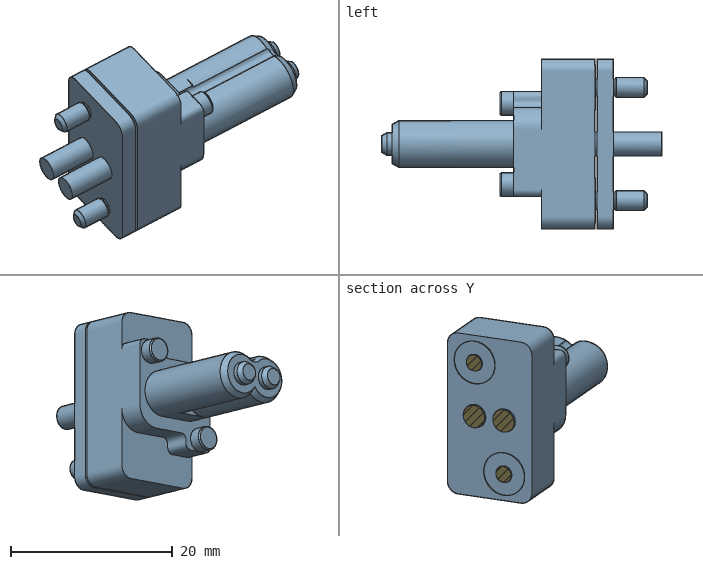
import cadquery as cq
import math

WIDTH = 11.5
LENGTH = 34.6
HEIGHT = 21.0
CORNER_RADIUS = 1.5
CONTACT_X = 2.0

CONTACT_FRONT = -6.0
GUIDE_FRONT = -4.22
PLATE_BACK = 2.0
BLOCK_FRONT = 2.3
BLOCK_BACK = 8.9
FLANGE_BACK = 12.32
WEB_BACK = 15.33
TUBE_BACK = 27.35
TIP_BACK = CONTACT_FRONT + LENGTH

CONTACT_RADIUS = 1.5
TUBE_RADIUS = 2.9
TUBE_CHAMFER_LENGTH = 0.85
TUBE_CHAMFER_DEPTH = 0.5
TIP_RADIUS = 1.42
TIP_CHAMFER_LENGTH = 0.65
TIP_CHAMFER_DEPTH = 0.38

GUIDE_Z = 7.0
GUIDE_RADIUS = 1.25
GUIDE_NECK_RADIUS = 1.07
GUIDE_NECK_LENGTH = 0.2
GUIDE_TIP_CHAMFER = 0.45
COLLAR_RADIUS = 2.77
COLLAR_THICKNESS = 0.1

FLANGE_TOP = 6.5
FLANGE_SHOULDER = 4.53
FLANGE_STEP_X = 1.75
FLANGE_BIG_RADIUS = 2.7
FLANGE_SMALL_RADIUS = 0.8

SCREW_X = 4.0
SCREW_Z = 5.0
SCREW_RADIUS = 1.5
SCREW_HEIGHT = 1.7
SCREW_CHAMFER_LENGTH = 0.2
SCREW_CHAMFER_DEPTH = 0.15

FILLER_WIDTH = 1.05
FILLER_HEIGHT = 2.42
GROOVE_RADIUS = 0.8
GROOVE_END = 13.08
GROOVE_FLARE_LENGTH = 0.62
DRILL_POINT_ANGLE = 118


def slab(y_start, y_end):
    """Full-size rounded plate lying between two Y stations."""
    return (
        cq.Workplane("XZ", origin=(0, y_start, 0))
        .rect(WIDTH, HEIGHT)
        .extrude(y_start - y_end)
        .edges("|Y")
        .fillet(CORNER_RADIUS)
    )


def turned(profile, x, z):
    """Revolve (radius, y) points, starting and ending on the axis, about the Y line through x, z."""
    solid = cq.Workplane("XY").polyline(profile).close().revolve(360, (0, 0), (0, 1))
    return solid.translate((x, 0, z))


def contact(x):
    """Turned contact: front stub, chamfered tube and probe tip."""
    return turned(
        [
            (0, CONTACT_FRONT),
            (CONTACT_RADIUS, CONTACT_FRONT),
            (CONTACT_RADIUS, BLOCK_BACK),
            (TUBE_RADIUS, BLOCK_BACK),
            (TUBE_RADIUS, TUBE_BACK - TUBE_CHAMFER_LENGTH),
            (TUBE_RADIUS - TUBE_CHAMFER_DEPTH, TUBE_BACK),
            (TIP_RADIUS, TUBE_BACK),
            (TIP_RADIUS, TIP_BACK - TIP_CHAMFER_LENGTH),
            (TIP_RADIUS - TIP_CHAMFER_DEPTH, TIP_BACK),
            (0, TIP_BACK),
        ],
        x,
        0,
    )


def guide_pin(x, z):
    """Turned guide pin reaching back to the block."""
    neck_step = GUIDE_RADIUS - GUIDE_NECK_RADIUS
    collar_front = BLOCK_FRONT - COLLAR_THICKNESS
    return turned(
        [
            (0, GUIDE_FRONT),
            (GUIDE_RADIUS - GUIDE_TIP_CHAMFER, GUIDE_FRONT),
            (GUIDE_RADIUS, GUIDE_FRONT + GUIDE_TIP_CHAMFER),
            (GUIDE_RADIUS, -GUIDE_NECK_LENGTH - neck_step),
            (GUIDE_NECK_RADIUS, -GUIDE_NECK_LENGTH),
            (GUIDE_NECK_RADIUS, collar_front),
            (COLLAR_RADIUS, collar_front),
            (COLLAR_RADIUS, BLOCK_FRONT),
            (0, BLOCK_FRONT),
        ],
        x,
        z,
    )


def screw_head(x, z):
    """Screw head with a chamfered rim, standing on the flange."""
    head_back = FLANGE_BACK + SCREW_HEIGHT
    return turned(
        [
            (0, FLANGE_BACK),
            (SCREW_RADIUS, FLANGE_BACK),
            (SCREW_RADIUS, head_back - SCREW_CHAMFER_LENGTH),
            (SCREW_RADIUS - SCREW_CHAMFER_DEPTH, head_back),
            (0, head_back),
        ],
        x,
        z,
    )


def flange():
    """Plate with two opposite corners cut back; unchanged by a half turn about Y."""
    half_width = WIDTH / 2
    half_outline = [
        (-half_width, FLANGE_SHOULDER),
        (FLANGE_STEP_X, FLANGE_SHOULDER),
        (FLANGE_STEP_X, FLANGE_TOP),
        (half_width, FLANGE_TOP),
    ]
    outline = half_outline + [(-x, -z) for x, z in half_outline]
    body = (
        cq.Workplane("XZ", origin=(0, BLOCK_BACK, 0))
        .polyline(outline)
        .close()
        .extrude(BLOCK_BACK - FLANGE_BACK)
    )
    middle_y = (BLOCK_BACK + FLANGE_BACK) / 2

    def corner_edges(corners):
        selected = body.edges(cq.NearestToPointSelector((corners[0][0], middle_y, corners[0][1])))
        for x, z in corners[1:]:
            selected = selected.add(body.edges(cq.NearestToPointSelector((x, middle_y, z))))
        return selected

    big_corners = [outline[0], outline[4]]
    small_corners = outline[1:4] + outline[5:8]
    body = corner_edges(big_corners).fillet(FLANGE_BIG_RADIUS)
    return corner_edges(small_corners).fillet(FLANGE_SMALL_RADIUS)


def web():
    """Block filling the gap between the tubes next to the flange."""
    return (
        cq.Workplane("XZ", origin=(0, FLANGE_BACK, 0))
        .rect(2 * CONTACT_X, 2 * TUBE_RADIUS)
        .extrude(FLANGE_BACK - WEB_BACK)
    )


def filler_bar():
    """Bar along the full tube length in the valley where the tubes meet."""
    return (
        cq.Workplane("XZ", origin=(0, FLANGE_BACK, FILLER_HEIGHT / 2))
        .rect(FILLER_WIDTH, FILLER_HEIGHT)
        .extrude(FLANGE_BACK - TUBE_BACK)
    )


def groove():
    """Drill-shaped cut along the top of the tubes, flared where it opens at the back."""
    point_length = GROOVE_RADIUS / math.tan(math.radians(DRILL_POINT_ANGLE / 2))
    flare_slope = TUBE_CHAMFER_DEPTH / TUBE_CHAMFER_LENGTH
    flared_radius = GROOVE_RADIUS + GROOVE_FLARE_LENGTH * flare_slope
    return turned(
        [
            (0, GROOVE_END - point_length),
            (GROOVE_RADIUS, GROOVE_END),
            (GROOVE_RADIUS, TUBE_BACK - GROOVE_FLARE_LENGTH),
            (flared_radius, TUBE_BACK),
            (0, TUBE_BACK),
        ],
        0,
        TUBE_RADIUS,
    )


result = slab(0, PLATE_BACK).union(slab(BLOCK_FRONT, BLOCK_BACK)).union(flange())
result = result.union(web()).union(filler_bar())
for side in (-1, 1):
    result = result.union(contact(side * CONTACT_X))
    result = result.union(guide_pin(side * CONTACT_X, -side * GUIDE_Z))
    result = result.union(screw_head(side * SCREW_X, side * SCREW_Z))
result = result.cut(groove())